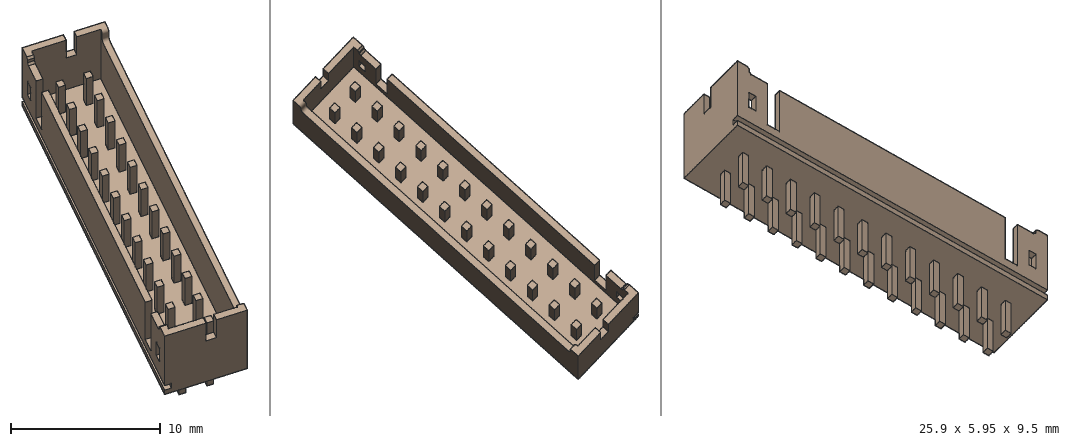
import cadquery as cq

length = 25.95
width = 5.95
total_height = 9.5
body_height = 6.48
wall = 0.5
floor_height = 1.0

front_wall_height = 5.9
front_step_inset = 0.99
front_step_chamfer = 0.15
back_wall_height = 5.47
back_step_radius = 0.25

slot_inset = 2.52
slot_width = 1.0
slot_bottom = 1.76
window_inset = 0.95
window_width = 0.57
window_bottom = 2.5
window_height = 1.45

groove_bottom = 0.5
groove_height = 0.5

notch_width = 0.75
notch_bottom = 4.51

pin_columns = 12
pin_rows = 2
pin_pitch = 2.0
pin_size = 0.5
pin_top = 4.0
pin_bottom = body_height - total_height

half_length = length / 2
front_y = -width / 2
inner_front_y = front_y + wall
inner_back_y = width / 2 - wall


def box(x_start, y_start, z_start, x_size, y_size, z_size):
    """Box given by its lowest corner and its sizes."""
    corner = (x_start, y_start, z_start)
    return cq.Workplane("XY").box(x_size, y_size, z_size, centered=False).translate(corner)


def mirrored_pair(left_solid):
    """A solid on the left half together with its mirror image on the right."""
    return left_solid.union(left_solid.mirror("YZ"))


def front_cutaway():
    """Material above the front wall: a chamfer at the top and foot of each end step."""
    step_x = half_length - front_step_inset
    flare_x = step_x + front_step_chamfer
    foot_x = step_x - front_step_chamfer
    flare_z = body_height - front_step_chamfer
    foot_z = front_wall_height + front_step_chamfer
    outline = [
        (-flare_x, body_height),
        (-step_x, flare_z),
        (-step_x, foot_z),
        (-foot_x, front_wall_height),
        (foot_x, front_wall_height),
        (step_x, foot_z),
        (step_x, flare_z),
        (flare_x, body_height),
    ]
    return cq.Workplane("XZ", origin=(0, front_y, 0)).polyline(outline).close().extrude(-wall)


def back_cutaway():
    """Material above the back wall: a round at the top and foot of each end step."""
    radius = back_step_radius
    step_x = half_length - wall - radius
    flare_x = step_x + radius
    foot_x = step_x - radius
    flare_z = body_height - radius
    foot_z = back_wall_height + radius
    return (
        cq.Workplane("XZ", origin=(0, inner_back_y, 0))
        .moveTo(-flare_x, body_height)
        .radiusArc((-step_x, flare_z), radius)
        .lineTo(-step_x, foot_z)
        .radiusArc((-foot_x, back_wall_height), -radius)
        .lineTo(foot_x, back_wall_height)
        .radiusArc((step_x, foot_z), -radius)
        .lineTo(step_x, flare_z)
        .radiusArc((flare_x, body_height), radius)
        .close()
        .extrude(-wall)
    )


def make_housing():
    housing = box(-half_length, front_y, 0, length, width, body_height)
    cavity = box(
        -half_length + wall, inner_front_y, floor_height,
        length - 2 * wall, width - 2 * wall, body_height - floor_height,
    )
    slot = box(-half_length + slot_inset, front_y, slot_bottom, slot_width, wall, body_height)
    window = box(-half_length + window_inset, front_y, window_bottom, window_width, wall, window_height)
    groove = box(-half_length, front_y, groove_bottom, length, wall, groove_height)
    notches = box(-half_length, 0, notch_bottom, length, notch_width, body_height - notch_bottom)
    return (
        housing.cut(cavity)
        .cut(front_cutaway())
        .cut(back_cutaway())
        .cut(mirrored_pair(slot))
        .cut(mirrored_pair(window))
        .cut(groove)
        .cut(notches)
    )


def make_pins():
    return (
        cq.Workplane("XY", origin=(0, 0, pin_bottom))
        .rarray(pin_pitch, pin_pitch, pin_columns, pin_rows)
        .rect(pin_size, pin_size)
        .extrude(pin_top - pin_bottom)
    )


result = make_housing().union(make_pins())